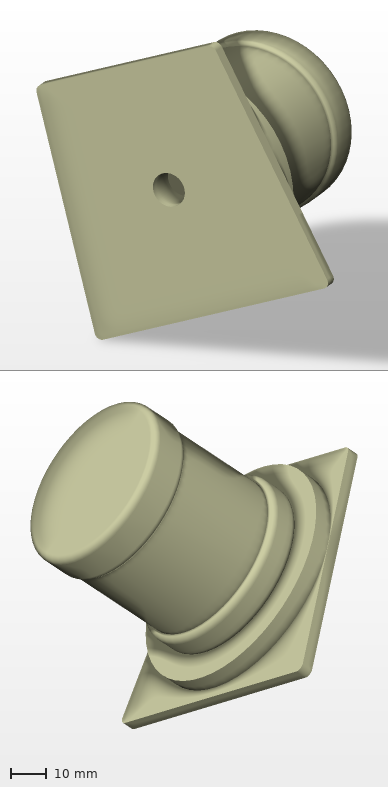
import cadquery as cq
import math


plate_thickness = 3.6
plate_height = 74.9
plate_mean_width = 69.6
leg_angle = 7.2
plate_tilt = 22.0
plate_corner_radius = 2.0
boss_radius = 34.4
boss_thickness = 5.6
hole_radius = 5.0

collar_radius = 26.8
collar_length = 9.3
barrel_radius = 24.7
barrel_length = 32.5
cap_radius = 25.8
cap_length = 12.1
rim_fillet = 2.0

collar_start = plate_thickness + boss_thickness
barrel_start = collar_start + collar_length
cap_start = barrel_start + barrel_length


def disc(radius, start, length):
    """Solid cylinder about the Y axis, running toward +Y from start."""
    return cq.Workplane("XZ", origin=(0, start, 0)).circle(radius).extrude(-length)


def rounded_disc(radius, start, length):
    """Cylinder with both rims rounded."""
    return disc(radius, start, length).edges("%CIRCLE").fillet(rim_fillet)


def make_base():
    """Isosceles trapezoid plate and boss in one piece, with a hole through both."""
    half_height = plate_height / 2
    half_width = plate_mean_width / 2
    taper = half_height * math.tan(math.radians(leg_angle))
    top_half = half_width - taper
    bottom_half = half_width + taper
    plate = (
        cq.Workplane("XZ")
        .polyline([
            (-bottom_half, -half_height),
            (bottom_half, -half_height),
            (top_half, half_height),
            (-top_half, half_height),
        ])
        .close()
        .extrude(-plate_thickness)
        .edges("|Y")
        .fillet(plate_corner_radius)
        .rotate((0, 0, 0), (0, 1, 0), -plate_tilt)
    )
    boss = disc(boss_radius, plate_thickness, boss_thickness)
    hole = disc(hole_radius, 0, collar_start)
    return plate.union(boss).cut(hole)


base = make_base()
collar = rounded_disc(collar_radius, collar_start, collar_length)
barrel = disc(barrel_radius, barrel_start, barrel_length)
cap = rounded_disc(cap_radius, cap_start, cap_length)

result = cq.Compound.makeCompound([base.val(), collar.val(), barrel.val(), cap.val()])